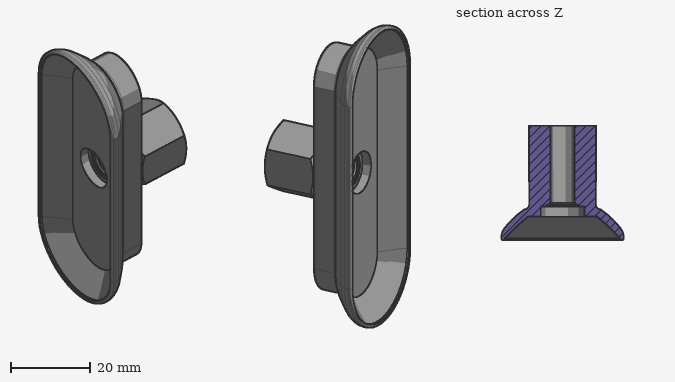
import cadquery as cq
import math


straight_length = 50.0
body_depth = 15.0

rim_radius = 15.5
lip_height = 1.0
lip_rounding = 0.5
lip_inner_angle = 45.0
lip_inner_edge = (14.5, 0.6)

shoulder_end = (15.23, 2.2)
shoulder_start = (14.02, 3.9)
skirt_middle = (11.92, 6.08)

neck_radius = 8.5
neck_fillet = 1.1
neck_fillet_end = 9.0
neck_edge_fillet = 0.5

cavity_depth = 6.0
cavity_floor_radius = 8.7
cavity_wall_middle = (11.7, 3.38)

nut_across_flats = 17.0
nut_length = 14.0
nut_chamfer_angle = 30.0

counterbore_diameter = 11.0
counterbore_depth = 2.5
step_diameter = 8.57
step_chamfer = 0.25
step_depth = 0.5
bore_diameter = 6.0
bore_chamfer = 0.5

overall_depth = body_depth + nut_length
AXIS_START = (0, 0)
AXIS_END = (0, 1)


def revolve_about_y(section):
    return section.revolve(360, AXIS_START, AXIS_END)


def make_cup_section():
    """Closed half section of the cup, from the centre line to the skirt."""
    crest_radius = rim_radius - lip_rounding
    turn = math.radians(lip_inner_angle)
    rounding_start = (
        crest_radius - lip_rounding * math.sin(turn),
        lip_rounding * (1 - math.cos(turn)),
    )
    skirt_top = (neck_radius + neck_fillet, neck_fillet_end - neck_fillet)
    return (
        cq.Workplane("XY")
        .moveTo(0, cavity_depth)
        .lineTo(cavity_floor_radius, cavity_depth)
        .threePointArc(cavity_wall_middle, lip_inner_edge)
        .lineTo(*rounding_start)
        .threePointArc((crest_radius, 0), (rim_radius, lip_rounding))
        .lineTo(rim_radius, lip_height)
        .tangentArcPoint(shoulder_end, relative=False)
        .tangentArcPoint(shoulder_start, relative=False)
        .threePointArc(skirt_middle, skirt_top)
        .radiusArc((neck_radius, neck_fillet_end), neck_fillet)
        .lineTo(neck_radius, body_depth - neck_edge_fillet)
        .tangentArcPoint((neck_radius - neck_edge_fillet, body_depth), relative=False)
        .lineTo(0, body_depth)
        .close()
    )


def make_cup():
    """Straight middle stretch, closed by a turned end at each arc centre."""
    half_length = straight_length / 2
    turned_end = revolve_about_y(make_cup_section())
    right_half = make_cup_section().extrude(half_length, both=True)
    cup = right_half.union(right_half.mirror("YZ"))

    keep_size = 4 * rim_radius
    for side in (-1, 1):
        outer_half = cq.Workplane("XY").box(keep_size, keep_size, keep_size)
        outer_half = outer_half.translate((0, 0, side * keep_size / 2))
        end_cap = turned_end.intersect(outer_half)
        cup = cup.union(end_cap.translate((0, 0, side * half_length)))
    return cup


def make_nut():
    """Hexagonal prism with its corners turned down to a cone at both ends."""
    face_radius = nut_across_flats / 2
    corner_radius = face_radius / math.cos(math.radians(30))
    chamfer_height = (corner_radius - face_radius) * math.tan(math.radians(nut_chamfer_angle))
    hexagon = (
        cq.Workplane("XZ", origin=(0, body_depth, 0))
        .transformed(rotate=(0, 0, 90))
        .polygon(6, 2 * corner_radius)
        .extrude(-nut_length)
    )
    turned_envelope = revolve_about_y(
        cq.Workplane("XY")
        .moveTo(0, body_depth)
        .lineTo(face_radius, body_depth)
        .lineTo(corner_radius, body_depth + chamfer_height)
        .lineTo(corner_radius, overall_depth - chamfer_height)
        .lineTo(face_radius, overall_depth)
        .lineTo(0, overall_depth)
        .close()
    )
    return hexagon.intersect(turned_envelope)


def make_bore():
    """Counterbore, chamfered step and chamfered through hole as one cutter."""
    counterbore_radius = counterbore_diameter / 2
    step_radius = step_diameter / 2
    bore_radius = bore_diameter / 2
    counterbore_floor = cavity_depth + counterbore_depth
    step_floor = counterbore_floor + step_depth
    return revolve_about_y(
        cq.Workplane("XY")
        .moveTo(0, cavity_depth)
        .lineTo(counterbore_radius, cavity_depth)
        .lineTo(counterbore_radius, counterbore_floor)
        .lineTo(step_radius, counterbore_floor)
        .lineTo(step_radius - step_chamfer, counterbore_floor + step_chamfer)
        .lineTo(step_radius - step_chamfer, step_floor)
        .lineTo(bore_radius + bore_chamfer, step_floor)
        .lineTo(bore_radius, step_floor + bore_chamfer)
        .lineTo(bore_radius, overall_depth)
        .lineTo(0, overall_depth)
        .close()
    )


result = make_cup().union(make_nut()).cut(make_bore()).solids()